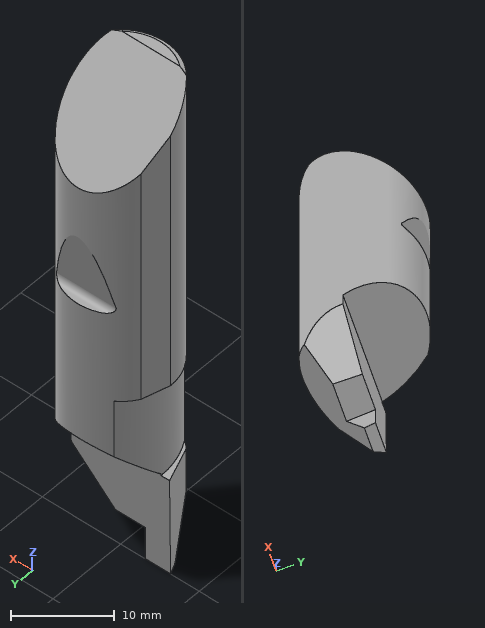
import cadquery as cq
import math

LENGTH = 63.5
RADIUS = 6.35
MARGIN = 3.2
OUT = RADIUS + MARGIN

END_CHAMFER_RADIAL = 0.6
END_CHAMFER_HEIGHT = 0.3
END_FLAT_BACK = -4.45
SIDE_FLAT_END_Y = 3.3
NOTCH_TOP = 46.05
NOTCH_FLOOR = 37.1
NOTCH_DEPTH = 1.3
NOTCH_ROUND = 0.8

RELIEF_TOP = 25.4
RELIEF_BOTTOM = 12.5
RELIEF_DEPTH = 1.2
RELIEF_RADIUS = 9.8

RAKE_TOP = 12.7
FRONT_BEVEL_TOP = 11.5
TIP_THICKNESS = 1.2
TIP_RISE = 0.2
TIP_RIGHT = -3.1
TIP_SIDE_TAPER = 0.2
FRONT_SLOPE = (FRONT_BEVEL_TOP - TIP_RISE) / (RADIUS - TIP_THICKNESS)
CORNER_TOP = 9.85
SHOULDER_Z = 4.2
EDGE_SETBACK = 0.1
FLANK_SLOPE = 0.38


def prism_yz(points):
    """Prism through the whole bar along X."""
    return cq.Workplane("YZ").polyline(points).close().extrude(OUT, both=True)


def ruled_solid(lower, upper):
    """Straight-sided solid between two outlines at different heights."""
    wires = []
    for outline in (lower, upper):
        corners = [cq.Vector(*point) for point in outline]
        wires.append(cq.Wire.makePolygon(corners, close=True))
    return cq.Workplane(cq.Solid.makeLoft(wires, True))


def make_shank():
    bar = cq.Workplane("XY").circle(RADIUS).extrude(LENGTH)
    bar = bar.faces(">Z").chamfer(END_CHAMFER_HEIGHT, END_CHAMFER_RADIAL)
    drop = OUT - END_FLAT_BACK
    bevel = prism_yz([(END_FLAT_BACK, LENGTH), (OUT, LENGTH), (OUT, LENGTH - drop)])
    return bar.cut(bevel)


def side_flat():
    end_x = -math.sqrt(RADIUS**2 - SIDE_FLAT_END_Y**2)
    points = [(-RADIUS, 0), (end_x, SIDE_FLAT_END_Y), (-OUT, SIDE_FLAT_END_Y), (-OUT, 0)]
    return cq.Workplane("XY").polyline(points).close().extrude(LENGTH)


def back_notch():
    bottom_y = RADIUS - NOTCH_DEPTH
    corner_z = NOTCH_FLOOR + NOTCH_ROUND
    diagonal = NOTCH_ROUND * math.sqrt(0.5)
    return (
        cq.Workplane("YZ")
        .moveTo(RADIUS, NOTCH_TOP)
        .lineTo(bottom_y, corner_z)
        .threePointArc(
            (bottom_y + NOTCH_ROUND - diagonal, corner_z - diagonal),
            (bottom_y + NOTCH_ROUND, NOTCH_FLOOR),
        )
        .lineTo(OUT, NOTCH_FLOOR)
        .lineTo(OUT, NOTCH_TOP)
        .close()
        .extrude(OUT, both=True)
    )


def relief_hollow():
    """Region outside a large convex arc on the -X side."""
    height = RELIEF_TOP - RELIEF_BOTTOM
    plane = cq.Workplane("XY", origin=(0, 0, RELIEF_BOTTOM))
    block = plane.center(-RADIUS, 0).rect(2 * RADIUS, 2 * OUT).extrude(height)
    core_x = RELIEF_RADIUS - RADIUS + RELIEF_DEPTH
    core = plane.center(core_x, 0).circle(RELIEF_RADIUS).extrude(height)
    return block.cut(core)


def back_bevel():
    return prism_yz([(0, -MARGIN), (0, RAKE_TOP), (OUT, RAKE_TOP + OUT), (OUT, -MARGIN)])


def front_and_end_bevel():
    """Clearance in front of and below the tip."""
    outer_z = FRONT_BEVEL_TOP + FRONT_SLOPE * MARGIN
    points = [(0, 0), (-TIP_THICKNESS, TIP_RISE), (-OUT, outer_z), (-OUT, -MARGIN), (0, -MARGIN)]
    return prism_yz(points)


def corner_cut():
    """Open space beside the tip, bounded by a shoulder and a 45 degree bevel."""
    bevel_start = RADIUS - (CORNER_TOP - SHOULDER_Z)
    points = [
        (-RADIUS, SHOULDER_Z),
        (bevel_start, SHOULDER_Z),
        (OUT, CORNER_TOP + MARGIN),
        (OUT, -MARGIN),
        (-RADIUS, -MARGIN),
    ]
    space = cq.Workplane("XZ").polyline(points).close().extrude(OUT, both=True)

    def neck_section(z):
        depth = TIP_THICKNESS + (z - TIP_RISE) / FRONT_SLOPE
        front_x = TIP_RIGHT - TIP_SIDE_TAPER * OUT / depth
        return [(-OUT, 0, z), (TIP_RIGHT, 0, z), (front_x, -OUT, z), (-OUT, -OUT, z)]

    neck = ruled_solid(neck_section(0), neck_section(SHOULDER_Z))
    return space.cut(neck)


def tip_flank():
    """Space outside the side clearance plane below the hollow."""

    def section(z):
        edge_x = -RADIUS + EDGE_SETBACK * z / RAKE_TOP
        front_x = edge_x + FLANK_SLOPE * OUT
        return [(edge_x, 0, z), (front_x, -OUT, z), (-OUT, -OUT, z), (-OUT, 0, z)]

    return ruled_solid(section(0), section(RELIEF_BOTTOM))


result = make_shank()
cutters = (
    side_flat(),
    back_notch(),
    relief_hollow(),
    back_bevel(),
    front_and_end_bevel(),
    corner_cut(),
    tip_flank(),
)
for cutter in cutters:
    result = result.cut(cutter)